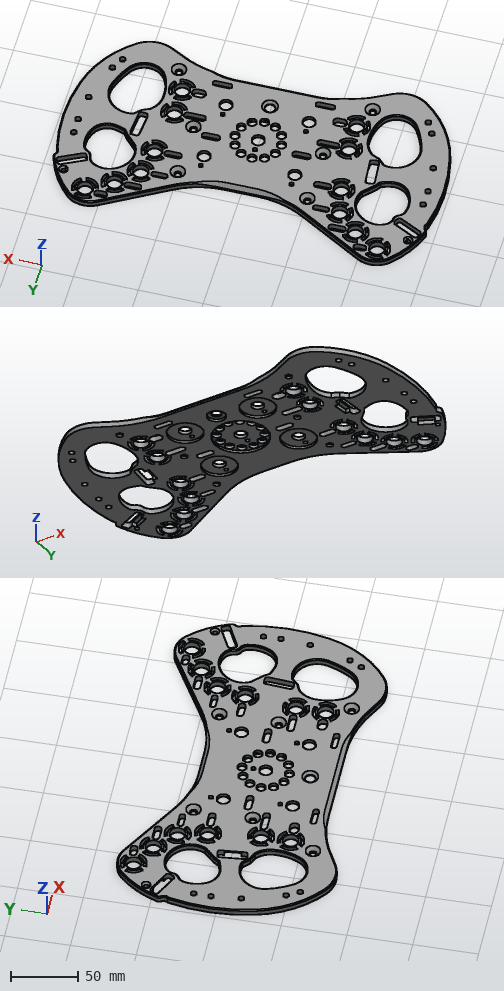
import cadquery as cq
import math

THICKNESS = 5.0
EDGE_CHAMFER = 1.0

TOP_EDGE_Y = 40.0
BOTTOM_EDGE_Y = -63.5
CORNER_TOP_Y = 81.7
HALF_LENGTH = 147.0

BEVEL_WIDTH = 3.2
BEVEL_SLOPE = 45
TOP_BEVEL_FLAT = 11.5
TOP_BEVEL_RADIUS = 50.0
BOTTOM_BEVEL_FLAT = 32.3
BOTTOM_BEVEL_RADIUS = 44.0
BEVEL_ARC_ANGLE = 45.0
BEVEL_REACH = 58.8

BUTTON_DIAMETER = 12.0
BUTTONS = [
    (-112.5, 69.0, 15),
    (-93.0, 58.0, 0),
    (-76.7, 42.5, 0),
    (-72.0, 20.5, 0),
    (-67.3, -18.8, 0),
    (-67.3, -41.5, 0),
]
RING_INNER_RADIUS = 7.5
RING_OUTER_RADIUS = 10.0
RING_ARC_SPAN = 82
RING_ARC_CENTRES = (73, 180, 287)

CABLE_SLOTS = [
    (-100.0, 71.5, 9.7, 5.3),
    (-78.8, 58.0, 13.2, 5.3),
    (-62.3, 42.5, 12.3, 4.5),
    (-57.5, 21.0, 13.2, 5.3),
    (-51.5, -18.8, 16.8, 5.3),
    (-54.5, -41.5, 10.5, 7.0),
    (-35.0, -3.2, 14.0, 5.3),
    (-39.7, -54.0, 15.0, 4.5),
]

PADDLE_SLOT_LENGTH = 22.5
PADDLE_SLOT_WIDTH = 7.0
PADDLE_SLOT_CORNER = 2.0
PADDLE_RECESS_LENGTH = 13.0
PADDLE_RECESS_REACH = 7.3
PADDLE_RECESS_DEPTH = 3.5
PADDLE_SLOTS = [
    (-129.3, 44.0, -26.6),
    (-90.0, -1.5, -85),
]

SHAFT_DIAMETER = 10.0
PIN_DIAMETER = 3.2
SHAFT_HOLES = [(-35.0, 16.2), (-32.0, -36.0)]
PIN_OFFSET = 9.5
SHAFT_POCKET_DIAMETER = 28.0

POCKET_DEPTH = 2.0
HUB_POCKET_DIAMETER = 44.0

HUB_CENTRE_Y = -9.0
BOLT_COUNT = 12
BOLT_DIAMETER = 7.0
BOLT_CIRCLE_RADIUS = 18.0

GRIP_SCREW_DIAMETER = 4.5
GRIP_SCREWS = [(-134.5, 19.0), (-135.0, 6.0), (-133.0, -16.8), (-123.2, -48.8), (-118.0, -58.5)]

SCREW_DIAMETER = 5.3
SCREW_HEAD_DIAMETER = 11.2
SCREWS = [(-50.0, 36.0), (-50.0, -9.0), (-74.7, -59.7)]
CENTRE_SCREW_Y = -43.0
CENTRE_SCREW_DIAMETER = 8.0
CENTRE_SCREW_HEAD_DIAMETER = 12.0
CENTRE_SCREW_POCKET_DIAMETER = 14.7
CORNER_SCREW = (-133.0, 55.5)
CORNER_SCREW_DIAMETER = 3.5
CORNER_SCREW_HEAD_DIAMETER = 6.8
COUNTERSINK_ANGLE = 90.0


def both_sides(shape):
    """Return a left-hand shape together with its mirror image."""
    return shape.union(shape.mirror("YZ"))


def plate_blank():
    """Left half of the plate outline, extruded and mirrored."""
    left = (
        cq.Workplane("XY")
        .moveTo(0, TOP_EDGE_Y)
        .lineTo(-13.0, TOP_EDGE_Y)
        .threePointArc((-32.5, 42.5), (-51.0, 50.5))
        .lineTo(-100.5, 79.0)
        .threePointArc((-110.2, CORNER_TOP_Y), (-124.0, 76.5))
        .threePointArc((-137.0, 59.7), (-143.5, 45.0))
        .tangentArcPoint((-142.8, 42.0), relative=False)
        .tangentArcPoint((-143.0, 37.0), relative=False)
        .threePointArc((-HALF_LENGTH, 4.0), (-142.8, -29.5))
        .threePointArc((-133.7, -52.0), (-118.5, -71.0))
        .lineTo(-111.7, -76.7)
        .threePointArc((-97.0, -CORNER_TOP_Y), (-85.8, -79.5))
        .lineTo(-69.5, -70.8)
        .threePointArc((-51.7, -65.3), (-33.0, BOTTOM_EDGE_Y))
        .lineTo(0, BOTTOM_EDGE_Y)
        .close()
        .extrude(THICKNESS)
    )
    return both_sides(left)


def upper_grip_opening():
    """Upper of the two finger openings."""
    return (
        cq.Workplane("XY")
        .moveTo(-88.0, 19.7)
        .threePointArc((-85.8, 28.2), (-88.5, 37.0))
        .tangentArcPoint((-101.0, 46.0), relative=False)
        .tangentArcPoint((-113.0, 43.8), relative=False)
        .tangentArcPoint((-116.5, 38.2), relative=False)
        .tangentArcPoint((-120.0, 33.2), relative=False)
        .tangentArcPoint((-123.5, 28.8), relative=False)
        .tangentArcPoint((-121.0, 11.8), relative=False)
        .tangentArcPoint((-106.5, 5.0), relative=False)
        .tangentArcPoint((-98.8, 7.3), relative=False)
        .lineTo(-96.0, 11.2)
        .close()
        .extrude(THICKNESS)
    )


def lower_grip_opening():
    """Lower of the two finger openings."""
    return (
        cq.Workplane("XY")
        .moveTo(-96.7, -10.5)
        .threePointArc((-112.3, -13.8), (-118.7, -33.2))
        .tangentArcPoint((-110.5, -51.7), relative=False)
        .tangentArcPoint((-97.5, -59.0), relative=False)
        .tangentArcPoint((-83.8, -50.8), relative=False)
        .tangentArcPoint((-79.7, -30.5), relative=False)
        .tangentArcPoint((-85.8, -18.2), relative=False)
        .lineTo(-91.7, -15.5)
        .close()
        .extrude(THICKNESS)
    )


def bevel_cutter(edge_y, outward, flat, radius):
    """Wedge outside one long edge, sloping at 45 degrees away from the top face.

    Its boundary on the top face is a straight middle with an arc at each end.
    """
    sweep = math.radians(BEVEL_ARC_ANGLE)

    def arc_point(angle):
        x = flat + radius * math.sin(angle)
        y = edge_y + outward * (radius * (1 - math.cos(angle)) - BEVEL_WIDTH)
        return x, y

    start_x, start_y = arc_point(0)
    mid_x, mid_y = arc_point(sweep / 2)
    end_x, end_y = arc_point(sweep)
    far_y = edge_y + outward * BEVEL_REACH
    return (
        cq.Workplane("XY", origin=(0, 0, THICKNESS))
        .moveTo(-start_x, start_y)
        .lineTo(start_x, start_y)
        .threePointArc((mid_x, mid_y), (end_x, end_y))
        .lineTo(end_x, far_y)
        .lineTo(-end_x, far_y)
        .lineTo(-end_x, end_y)
        .threePointArc((-mid_x, mid_y), (-start_x, start_y))
        .close()
        .extrude(-BEVEL_WIDTH, taper=BEVEL_SLOPE)
    )


def underside_pocket(x, y, diameter):
    return cq.Workplane("XY").center(x, y).circle(diameter / 2).extrude(POCKET_DEPTH)


def round_hole(x, y, diameter):
    return cq.Workplane("XY").center(x, y).circle(diameter / 2).extrude(THICKNESS)


def button_cutter(x, y, turn):
    """Button hole and the ring of curved slots around it."""

    def at(radius, angle):
        return x + radius * math.cos(angle), y + radius * math.sin(angle)

    cutter = round_hole(x, y, BUTTON_DIAMETER)
    for centre in RING_ARC_CENTRES:
        mid = math.radians(centre + turn)
        start = mid - math.radians(RING_ARC_SPAN / 2)
        end = mid + math.radians(RING_ARC_SPAN / 2)
        slot = (
            cq.Workplane("XY")
            .moveTo(*at(RING_INNER_RADIUS, start))
            .threePointArc(at(RING_INNER_RADIUS, mid), at(RING_INNER_RADIUS, end))
            .lineTo(*at(RING_OUTER_RADIUS, end))
            .threePointArc(at(RING_OUTER_RADIUS, mid), at(RING_OUTER_RADIUS, start))
            .close()
            .extrude(THICKNESS)
        )
        cutter = cutter.add(slot)
    return cutter.combine()


def cable_slot(x, y, length, width):
    return cq.Workplane("XY").center(x, y).slot2D(length, width).extrude(THICKNESS)


def paddle_slot(x, y, tilt):
    """Rounded slot through the plate, undercut from below along its upper or inner long side."""
    slot = (
        cq.Workplane("XY")
        .rect(PADDLE_SLOT_LENGTH, PADDLE_SLOT_WIDTH)
        .extrude(THICKNESS)
        .edges("|Z")
        .fillet(PADDLE_SLOT_CORNER)
    )
    recess = (
        cq.Workplane("XY")
        .center(0, PADDLE_RECESS_REACH / 2)
        .rect(PADDLE_RECESS_LENGTH, PADDLE_RECESS_REACH)
        .extrude(PADDLE_RECESS_DEPTH)
    )
    return slot.union(recess).rotate((0, 0, 0), (0, 0, 1), tilt).translate((x, y, 0))


def countersunk_hole(x, y, diameter, head_diameter):
    depth = (head_diameter - diameter) / 2 / math.tan(math.radians(COUNTERSINK_ANGLE / 2))
    sink = cq.Solid.makeCone(
        diameter / 2, head_diameter / 2, depth, pnt=cq.Vector(x, y, THICKNESS - depth)
    )
    return round_hole(x, y, diameter).union(cq.Workplane(sink))


def hub_cutter():
    """Central shaft hole, its pin hole and the circle of bolt holes."""
    cutter = round_hole(0, HUB_CENTRE_Y, SHAFT_DIAMETER)
    cutter = cutter.add(round_hole(0, HUB_CENTRE_Y + PIN_OFFSET, PIN_DIAMETER))
    for i in range(BOLT_COUNT):
        angle = 2 * math.pi * i / BOLT_COUNT
        bolt_x = BOLT_CIRCLE_RADIUS * math.cos(angle)
        bolt_y = HUB_CENTRE_Y + BOLT_CIRCLE_RADIUS * math.sin(angle)
        cutter = cutter.add(round_hole(bolt_x, bolt_y, BOLT_DIAMETER))
    return cutter.combine()


plate = plate_blank()
plate = plate.cut(both_sides(upper_grip_opening()))
plate = plate.cut(both_sides(lower_grip_opening()))
plate = plate.faces(">Z").edges().chamfer(EDGE_CHAMFER)

plate = plate.cut(bevel_cutter(TOP_EDGE_Y, 1, TOP_BEVEL_FLAT, TOP_BEVEL_RADIUS))
plate = plate.cut(bevel_cutter(BOTTOM_EDGE_Y, -1, BOTTOM_BEVEL_FLAT, BOTTOM_BEVEL_RADIUS))

left_cutters = [button_cutter(*button) for button in BUTTONS]
left_cutters += [cable_slot(*slot) for slot in CABLE_SLOTS]
left_cutters += [paddle_slot(*slot) for slot in PADDLE_SLOTS]
left_cutters += [round_hole(x, y, SHAFT_DIAMETER) for x, y in SHAFT_HOLES]
left_cutters += [round_hole(x, y + PIN_OFFSET, PIN_DIAMETER) for x, y in SHAFT_HOLES]
left_cutters += [underside_pocket(x, y, SHAFT_POCKET_DIAMETER) for x, y in SHAFT_HOLES]
left_cutters += [round_hole(x, y, GRIP_SCREW_DIAMETER) for x, y in GRIP_SCREWS]
left_cutters += [countersunk_hole(x, y, SCREW_DIAMETER, SCREW_HEAD_DIAMETER) for x, y in SCREWS]
left_cutters.append(
    countersunk_hole(*CORNER_SCREW, CORNER_SCREW_DIAMETER, CORNER_SCREW_HEAD_DIAMETER)
)
for cutter in left_cutters:
    plate = plate.cut(both_sides(cutter))

plate = plate.cut(hub_cutter())
plate = plate.cut(underside_pocket(0, HUB_CENTRE_Y, HUB_POCKET_DIAMETER))
plate = plate.cut(
    countersunk_hole(0, CENTRE_SCREW_Y, CENTRE_SCREW_DIAMETER, CENTRE_SCREW_HEAD_DIAMETER)
)
plate = plate.cut(underside_pocket(0, CENTRE_SCREW_Y, CENTRE_SCREW_POCKET_DIAMETER))

result = plate